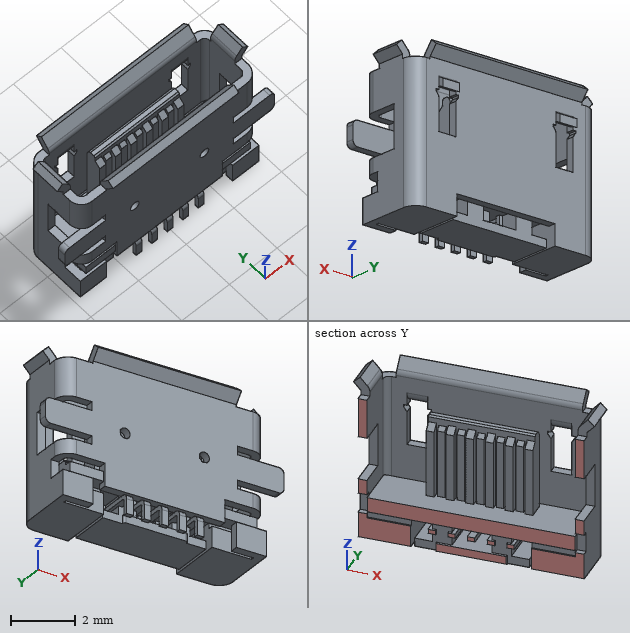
import cadquery as cq
import math


sheet = 0.3
shell_width = 7.5
shell_depth = 2.46
shell_top = 4.98
total_height = 5.6
overall_depth = 3.05
corner_radius = 0.5
side = shell_width / 2
inner_side = side - sheet
inner_back = shell_depth - sheet

lip_tilt = 40.0
end_lip_tilt = 43.0
lip_reach = (overall_depth - shell_depth) / 2
end_lip_reach = 0.25
front_lip_width = 5.28
back_lip_width = 6.18
end_lip_width = 1.13
end_lip_center = 1.355

ear_span = 8.8
ear_height = 0.9
ear_center = 2.84
ear_radius = 0.2
window_bottom = 2.09
window_top = 3.6
window_depth = 1.5
window_edge = 2.68

notch_top = 1.57
notch_edge = 2.21
notch_depth = 0.71
foot_top = 0.9
foot_edge = 2.64
front_wall_bottom = 0.75

hole_diameter = 0.36
hole_x = 1.46

latch_x = 2.385
latch_width = 0.69
latch_top = 4.5
latch_bottom = 2.64
relief_top = 4.05
relief_height = 0.23
relief_reach = 0.11
relief_slope_height = 0.16
latch_bend = 0.35
latch_lip_reach = 0.185
latch_lip_drop = 0.07

base_bottom = 0.95
base_top = 1.48
front_chamfer = 0.1
back_chamfer = 0.11
base_front = 0.32
peg_front = 0.07
peg_top = 1.3
leg_edge = 2.0
leg_front = 0.405
upper_leg_front = 0.58
plate_half_width = 1.9
plate_front = 0.61
plate_top = 0.29
nose_half_width = 1.18
nose_front = 0.5
nose_radius = 0.07
pillar_x = 0.99
pillar_width = 0.65

tongue_half_width = 1.77
tongue_top = 4.25
tongue_back = 1.87
tongue_face = 1.5
top_back_edge = 1.72
top_front_edge = 1.56
back_edge_height = 3.995
front_edge_height = 4.2
rib_front = 1.285
rib_top = 4.02
rib_width = 0.26

contact_count = 5
pitch = 0.65
contact_width = 0.25
contact_thickness = 0.16
contact_front = -0.03
contact_bend = 0.23
contact_face = 1.36
contact_top = 3.96


def block(x_range, y_range, z_range):
    """Box between two limits along each axis."""
    (x0, x1), (y0, y1), (z0, z1) = x_range, y_range, z_range
    return cq.Workplane("XY").box(x1 - x0, y1 - y0, z1 - z0, centered=False).translate((x0, y0, z0))


def both_sides(body):
    """The body together with its mirror image across X = 0."""
    return body.union(body.mirror("YZ"))


def along_x(profile, center, width):
    """Extrude a Y-Z profile by a width centred on an X position."""
    return profile.extrude(width / 2, both=True).translate((center, 0, 0))


def lip(tilt, reach, width):
    """Lip on a wall whose outer face is Y = 0 and whose outside is -Y, centred on X = 0.

    Its inner face bends around the sharp outer corner at a radius of one sheet thickness.
    """
    slope = math.radians(tilt)
    run = sheet * math.cos(slope)
    rise = sheet * math.sin(slope)
    tip_low = total_height - rise
    bend = tip_low - reach / math.tan(slope)
    arc_end = (run, bend + rise)
    arc_middle = (sheet * math.cos(slope / 2), bend + sheet * math.sin(slope / 2))
    profile = (
        cq.Workplane("YZ")
        .moveTo(0, shell_top)
        .lineTo(0, bend)
        .lineTo(-reach, tip_low)
        .lineTo(run - reach, total_height)
        .lineTo(*arc_end)
        .threePointArc(arc_middle, (sheet, bend))
        .lineTo(sheet, shell_top)
        .close()
    )
    return along_x(profile, 0, width)


def tube():
    """Rounded rectangular sleeve, with square front corners at the feet."""
    center = (0, shell_depth / 2)
    outer = cq.Workplane("XY").center(*center).rect(shell_width, shell_depth).extrude(shell_top)
    inner = (
        cq.Workplane("XY")
        .center(*center)
        .rect(shell_width - 2 * sheet, shell_depth - 2 * sheet)
        .extrude(shell_top)
        .edges("|Z")
        .fillet(corner_radius - sheet)
    )
    feet = block((foot_edge, side), (0, sheet), (0, foot_top))
    feet = feet.union(block((inner_side, side), (0, notch_depth), (0, foot_top)))
    sleeve = outer.edges("|Z").fillet(corner_radius).cut(inner)
    lower_front = block((-side, side), (0, notch_depth), (0, front_wall_bottom))
    return sleeve.cut(lower_front).cut(corner_openings()).union(both_sides(feet))


def corner_openings():
    """Ear windows and notches that wrap around the two front corners."""
    window = block((window_edge, side), (0, window_depth), (window_bottom, window_top))
    notch = block((notch_edge, side), (0, notch_depth), (front_wall_bottom, notch_top))
    return both_sides(window.union(notch))


def ear():
    half_height = ear_height / 2
    return block(
        (window_edge, ear_span / 2), (0, sheet), (ear_center - half_height, ear_center + half_height)
    ).edges(">X and |Y").fillet(ear_radius)


def latch_opening():
    half = latch_width / 2
    relief_bottom = relief_top - relief_height
    relief_outline = [
        (latch_x - half, relief_top),
        (latch_x - half - relief_reach, relief_top),
        (latch_x - half - relief_reach, relief_bottom + relief_slope_height),
        (latch_x - half, relief_bottom),
        (latch_x + half, relief_bottom),
        (latch_x + half + relief_reach, relief_bottom + relief_slope_height),
        (latch_x + half + relief_reach, relief_top),
        (latch_x + half, relief_top),
    ]
    reliefs = (
        cq.Workplane("XZ", origin=(0, shell_depth, 0)).polyline(relief_outline).close().extrude(sheet)
    )
    opening = block(
        (latch_x - half, latch_x + half), (inner_back, shell_depth), (latch_bottom, latch_top)
    )
    return opening.union(reliefs)


def latch_lip():
    """Short lip bent out of the top of a latch opening, drooping at its end."""
    bend_y = inner_back + latch_bend
    inner_bend = latch_bend - sheet
    low = latch_top - latch_bend
    high = latch_top - inner_bend
    lip_end = shell_depth + latch_lip_reach
    diagonal = math.sqrt(0.5)
    profile = (
        cq.Workplane("YZ")
        .moveTo(inner_back, latch_top)
        .threePointArc(
            (bend_y - latch_bend * diagonal, latch_top - latch_bend * diagonal), (bend_y, low)
        )
        .lineTo(lip_end, low - latch_lip_drop)
        .lineTo(lip_end, high - latch_lip_drop)
        .lineTo(bend_y, high)
        .threePointArc(
            (bend_y - inner_bend * diagonal, latch_top - inner_bend * diagonal),
            (shell_depth, latch_top),
        )
        .close()
    )
    return along_x(profile, latch_x, latch_width)


def shell():
    holes = (
        cq.Workplane("XZ")
        .pushPoints([(-hole_x, ear_center), (hole_x, ear_center)])
        .circle(hole_diameter / 2)
        .extrude(-sheet)
    )
    lower_back = block((-leg_edge, leg_edge), (inner_back, shell_depth), (0, front_wall_bottom))
    body = tube().cut(holes).cut(lower_back).cut(both_sides(latch_opening()))
    body = body.union(both_sides(ear())).union(both_sides(latch_lip()))

    front_lip = lip(lip_tilt, lip_reach, front_lip_width)
    back_lip = lip(lip_tilt, lip_reach, back_lip_width).mirror("XZ").translate((0, shell_depth, 0))
    end_lip = (
        lip(end_lip_tilt, end_lip_reach, end_lip_width)
        .rotate((0, 0, 0), (0, 0, 1), 90)
        .translate((side, end_lip_center, 0))
    )
    return body.union(front_lip).union(back_lip).union(both_sides(end_lip))


def base():
    """Floor of the cavity, with pegs through the corner notches and legs beside the contacts."""
    floor = block((-inner_side, inner_side), (base_front, inner_back), (base_bottom, base_top))
    floor = floor.edges(">Z and <Y").chamfer(front_chamfer)
    floor = floor.edges(">Z and >Y").chamfer(back_chamfer)
    peg = block((notch_edge, inner_side), (peg_front, base_front), (base_bottom, peg_top))
    leg = block((leg_edge, inner_side), (leg_front, inner_back), (0, front_wall_bottom))
    upper_leg = block(
        (leg_edge, inner_side), (upper_leg_front, inner_back), (front_wall_bottom, base_bottom)
    )
    return floor.union(both_sides(peg.union(leg).union(upper_leg)))


def bottom_plate():
    """Plate between the legs, hung from the floor by two pillars."""
    plate = block((-plate_half_width, plate_half_width), (plate_front, inner_back), (0, plate_top))
    nose = block((-nose_half_width, nose_half_width), (nose_front, inner_back), (0, plate_top))
    nose = nose.edges("|Z and <Y").fillet(nose_radius)
    half = pillar_width / 2
    pillar = block((pillar_x - half, pillar_x + half), (plate_front, inner_back), (0, base_bottom))
    return plate.union(nose).union(both_sides(pillar))


def tongue():
    """Blade with a rounded back edge, a chamfered front edge and ribs between the contacts."""
    blade_profile = (
        cq.Workplane("YZ")
        .moveTo(tongue_back, base_bottom)
        .lineTo(tongue_back, back_edge_height)
        .tangentArcPoint((top_back_edge, tongue_top), relative=False)
        .lineTo(top_front_edge, tongue_top)
        .lineTo(tongue_face, front_edge_height)
        .lineTo(tongue_face, base_bottom)
        .close()
    )
    blade = along_x(blade_profile, 0, 2 * tongue_half_width)
    rib_outline = [
        (tongue_face, base_bottom),
        (rib_front, base_bottom),
        (rib_front, rib_top - (tongue_face - rib_front)),
        (tongue_face, rib_top),
    ]
    rib_span = 2 * tongue_half_width - rib_width
    for index in range(contact_count + 1):
        center = rib_span * (index / contact_count - 0.5)
        blade = blade.union(along_x(cq.Workplane("YZ").polyline(rib_outline).close(), center, rib_width))
    return blade


def contact(center):
    """Strip that stands at the front, bends under the base and rises along the tongue."""
    outer_top = front_wall_bottom
    arc_start = outer_top - contact_bend
    arc_end = contact_front + contact_bend
    shoulder = contact_bend * (1 - math.sqrt(0.5))
    inner_shoulder = contact_thickness + (contact_bend - contact_thickness) * (1 - math.sqrt(0.5))
    contact_back = contact_face + contact_thickness
    slope_end = contact_top - (tongue_face - contact_face)
    profile = (
        cq.Workplane("YZ")
        .moveTo(contact_front, 0)
        .lineTo(contact_front, arc_start)
        .threePointArc((contact_front + shoulder, outer_top - shoulder), (arc_end, outer_top))
        .lineTo(contact_face, outer_top)
        .lineTo(contact_face, slope_end)
        .lineTo(tongue_face, contact_top)
        .lineTo(contact_back, contact_top)
        .lineTo(contact_back, outer_top - contact_thickness)
        .lineTo(arc_end, outer_top - contact_thickness)
        .threePointArc(
            (contact_front + inner_shoulder, outer_top - inner_shoulder),
            (contact_front + contact_thickness, arc_start),
        )
        .lineTo(contact_front + contact_thickness, 0)
        .close()
    )
    return along_x(profile, center, contact_width)


result = shell().union(base()).union(bottom_plate()).union(tongue())
for index in range(contact_count):
    result = result.union(contact(pitch * (index - (contact_count - 1) / 2)))